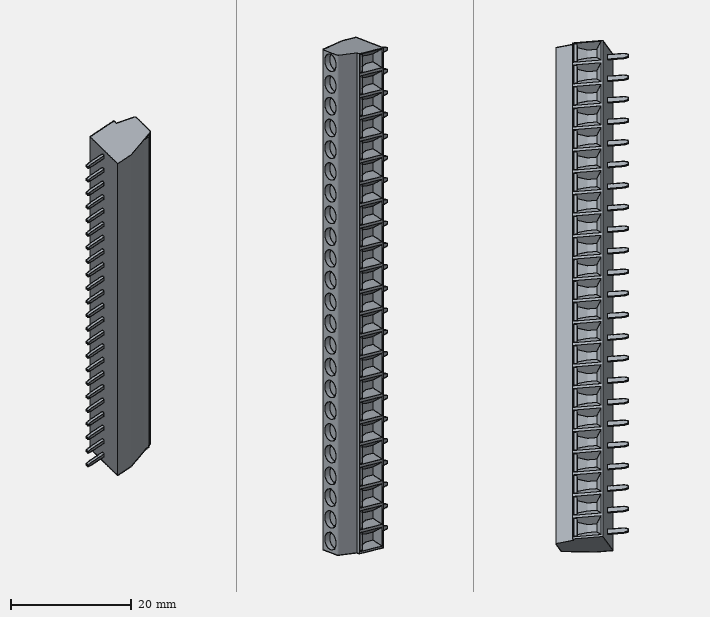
import cadquery as cq
import math

pole_count = 23
length = 87.6
pitch = length / pole_count
pole_shift = 0.13
cell_middle = 0.5

width = 7.3
depth = 8.5
half_width = width / 2
side_taper = math.tan(math.radians(16.2))
rear_half_width = 2.0
ledge_y = 5.2
rear_rounding = 0.35

rib_rear_y = 8.0
rib_crest_x = 2.5
rib_bevel = 0.35
rib_end_gap = 0.2

pole_x = -0.12
screw_radius = 1.5
screw_depth = 1.05
pin_thickness = 0.48
pin_height = 0.8
pin_length = 3.5
pin_embed = 0.4
pin_taper_length = 0.7
pin_taper = 0.2

entry_front_y = 0.35
entry_rear_y = 5.0
entry_depth = 1.1
entry_half_height = 1.7
floor_front_y = 1.3
floor_rear_y = 2.9
floor_half_height = 0.7
lip_depth = 0.07
lip_width = 0.105
rear_wall_y = 4.5
rear_wall_depth = entry_depth - (rear_wall_y - floor_rear_y) * side_taper


def make_housing():
    ledge_x = -rear_half_width - (depth - ledge_y) * side_taper
    right_taper_y = depth - (half_width - rear_half_width) / side_taper
    outline = [
        (-half_width, 0),
        (half_width, 0),
        (half_width, right_taper_y),
        (rear_half_width, depth),
        (-rear_half_width, depth),
        (ledge_x, ledge_y),
        (-half_width, ledge_y),
    ]
    block = cq.Workplane("XY").polyline(outline).close().extrude(length)
    return block.edges("|Z").edges(">Y").fillet(rear_rounding)


def make_rib():
    """Bevelled rib whose crest runs parallel to Y until the flank swallows it."""
    outline = [
        (rear_half_width, rib_rear_y),
        (rib_crest_x - rib_bevel, rib_rear_y),
        (rib_crest_x, rib_rear_y - rib_bevel),
        (rib_crest_x, depth - (rib_crest_x - rear_half_width) / side_taper),
    ]
    rib = cq.Workplane("XY", origin=(0, 0, rib_end_gap)).polyline(outline).close()
    return rib.extrude(length - 2 * rib_end_gap)


def make_wire_entry():
    """Funnel centred on Z = 0: its plan shape trimmed by its sloping top and bottom."""
    plan = [
        (0, entry_front_y),
        (entry_depth, floor_front_y),
        (entry_depth, floor_rear_y),
        (rear_wall_depth, rear_wall_y),
        (lip_depth, rear_wall_y),
        (lip_depth, entry_rear_y),
        (0, entry_rear_y),
    ]
    half_profile = [
        (0, entry_half_height),
        (lip_depth, entry_half_height - lip_width),
        (entry_depth, floor_half_height),
    ]
    profile = half_profile + [(x, -z) for x, z in reversed(half_profile)]
    funnel = (
        cq.Workplane("XY", origin=(0, 0, -entry_half_height))
        .polyline(plan)
        .close()
        .extrude(2 * entry_half_height)
    )
    slopes = cq.Workplane("XZ").polyline(profile).close().extrude(-depth)
    return funnel.intersect(slopes).translate((-half_width, 0, 0))


def make_screw_recess():
    recess = cq.Workplane("XZ", origin=(pole_x, depth, 0)).circle(screw_radius)
    return recess.extrude(screw_depth)


def make_pin():
    """Pin centred on Z = 0, its top and bottom tapering towards the tip."""
    half_height = pin_height / 2
    taper_y = pin_taper_length - pin_length
    half_outline = [
        (pin_embed, half_height),
        (taper_y, half_height),
        (-pin_length, half_height - pin_taper),
    ]
    outline = half_outline + [(y, -z) for y, z in reversed(half_outline)]
    pin = cq.Workplane("YZ").polyline(outline).close()
    return pin.extrude(pin_thickness / 2, both=True).translate((pole_x, 0, 0))


def at_each_pole(feature):
    heights = [(pole + cell_middle) * pitch + pole_shift for pole in range(pole_count)]
    copies = [feature.val().translate(cq.Vector(0, 0, z)) for z in heights]
    return cq.Workplane(cq.Compound.makeCompound(copies))


result = (
    make_housing()
    .union(make_rib())
    .cut(at_each_pole(make_wire_entry()))
    .cut(at_each_pole(make_screw_recess()))
    .union(at_each_pole(make_pin()))
)